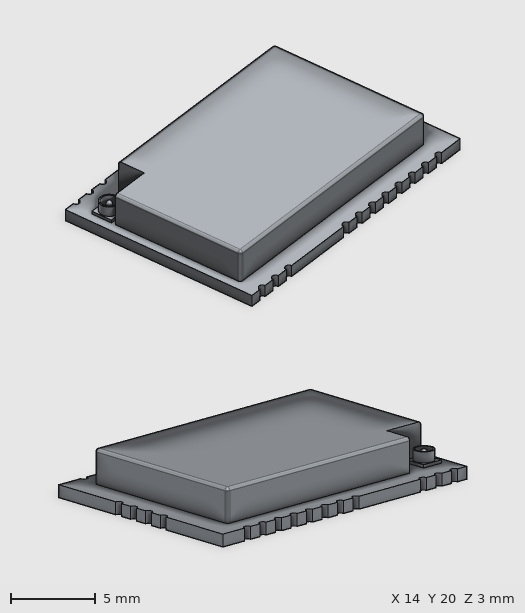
import cadquery as cq

board_width = 14.0
board_length = 20.0
board_thickness = 0.8
total_height = 3.0

notch_diameter = 0.5
two_notch_span = 2.55
notch_pitch = two_notch_span / 2
side_rear_count = 8
side_rear_inset = 2.05
side_front_count = 3
side_front_inset = 1.02
rear_count = 4
rear_inset = 5.08

cover_width = 11.32
cover_length = 17.7
cover_front_gap = 0.65
cover_height = total_height - board_thickness
cover_round = 0.2
cutout_width = 1.92
cutout_length = 2.75

connector_base_size = 1.45
connector_base_height = 0.2
connector_height = 0.88
ring_outer_diameter = 1.3
ring_inner_diameter = 1.1
pin_diameter = 0.4
pin_height = connector_height
connector_left_inset = 2.25
connector_front_inset = 1.35
connector_x = connector_left_inset - board_width / 2
connector_y = connector_front_inset - board_length / 2


def notch_centres():
    """Centres of all notches, each on an edge line of the board."""
    rear_y = board_length / 2
    side_ys = [rear_y - side_rear_inset - i * notch_pitch for i in range(side_rear_count)]
    side_ys += [side_front_inset - rear_y + i * notch_pitch for i in range(side_front_count)]
    centres = [(side * board_width / 2, y) for side in (-1, 1) for y in side_ys]
    first_x = rear_inset - board_width / 2
    centres += [(first_x + i * notch_pitch, rear_y) for i in range(rear_count)]
    return centres


def make_board():
    plate = cq.Workplane("XY").box(
        board_width, board_length, board_thickness, centered=(True, True, False)
    )
    notches = (
        cq.Workplane("XY")
        .pushPoints(notch_centres())
        .circle(notch_diameter / 2)
        .extrude(board_thickness)
    )
    return plate.cut(notches)


def make_cover():
    left = -cover_width / 2
    front = cover_front_gap - board_length / 2
    cover = (
        cq.Workplane("XY", origin=(left, front, board_thickness))
        .box(cover_width, cover_length, cover_height, centered=False)
        .edges("|Z or >Z")
        .fillet(cover_round)
    )
    cutout = cq.Workplane("XY", origin=(left, front, board_thickness)).box(
        cutout_width, cutout_length, cover_height, centered=False
    )
    return cover.cut(cutout)


def make_connector():
    def start(height):
        return cq.Workplane("XY", origin=(connector_x, connector_y, board_thickness + height))

    base = start(0).box(
        connector_base_size, connector_base_size, connector_base_height, centered=(True, True, False)
    )
    ring = (
        start(connector_base_height)
        .circle(ring_outer_diameter / 2)
        .circle(ring_inner_diameter / 2)
        .extrude(connector_height - connector_base_height)
    )
    dome_radius = pin_diameter / 2
    shank_top = pin_height - dome_radius
    shank = start(0).circle(dome_radius).extrude(shank_top)
    dome = start(shank_top).sphere(dome_radius)
    return base.union(ring).union(shank).union(dome)


result = make_board().union(make_cover()).union(make_connector())